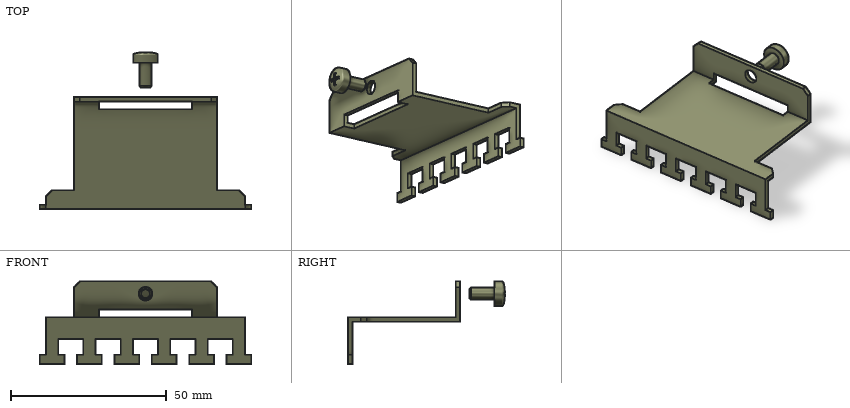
import cadquery as cq

total_width = 68.0
sheet = 1.5
bracket_depth = 36.05
drop_height = 15.0
flange_rise = 11.55
corner_cut = 2.0

finger_count = 6
foot_width = 8.0
foot_height = 3.0
stem_width = foot_width / 2
stem_height = 5.0
finger_pitch = (total_width - foot_width) / (finger_count - 1)
comb_width = total_width - foot_width + stem_width

strip_depth = 6.1
flange_width = 46.05
window_width = 29.7
window_reach = 2.45

screw_drop = 4.0
hole_diameter = 4.4
screw_gap = 2.9
shank_diameter = 4.0
shank_length = 8.0
tip_chamfer = 0.6
head_diameter = 8.0
head_side = 2.5
dome_height = 0.95
recess_span = 4.0
recess_width = 0.75
recess_depth = 1.35

screw_z = flange_rise - screw_drop
overcut = 0.7


def box(width, y_start, y_end, z_start, z_end, x_center=0.0):
    """Box centred on x_center, between the given Y and Z limits."""
    return (
        cq.Workplane("XY")
        .box(width, y_end - y_start, z_end - z_start, centered=(True, False, False))
        .translate((x_center, y_start, z_start))
    )


def make_plate():
    """Horizontal sheet with a wider, corner-cut strip along the front."""
    strip = box(comb_width, 0, strip_depth, -sheet, 0)
    strip = strip.edges("|Z and >Y").chamfer(corner_cut)
    web = box(flange_width, 0, bracket_depth, -sheet, 0)
    return strip.union(web)


def make_rear_flange():
    """Upright sheet with cut top corners."""
    flange = box(flange_width, bracket_depth - sheet, bracket_depth, -sheet, flange_rise)
    return flange.edges("|Y and >Z").chamfer(corner_cut)


def make_comb():
    """Hanging front sheet that carries the row of T-shaped fingers."""
    foot_top = foot_height - drop_height
    comb = box(comb_width, 0, sheet, foot_top + stem_height, 0)
    for index in range(finger_count):
        x = (index - (finger_count - 1) / 2) * finger_pitch
        stem = box(stem_width, 0, sheet, foot_top, foot_top + stem_height, x)
        foot = box(foot_width, 0, sheet, -drop_height, foot_top, x)
        comb = comb.union(stem).union(foot)
    return comb


def make_bracket():
    """Bent sheet bracket with a window in the bend and a screw hole."""
    window = box(
        window_width,
        bracket_depth - sheet - window_reach,
        bracket_depth + overcut,
        -sheet - overcut,
        window_reach,
    )
    hole = (
        cq.Workplane("XZ", origin=(0, bracket_depth + overcut, screw_z))
        .circle(hole_diameter / 2)
        .extrude(sheet + 2 * overcut)
    )
    return make_plate().union(make_rear_flange()).union(make_comb()).cut(window).cut(hole)


def make_screw():
    """Domed-head screw with a cross recess, behind the flange and in line with the hole."""
    shank_radius = shank_diameter / 2
    head_radius = head_diameter / 2
    dome_base = shank_length + head_side
    dome_top = dome_base + dome_height
    profile = (
        cq.Workplane("XY")
        .lineTo(shank_radius - tip_chamfer, 0)
        .lineTo(shank_radius, tip_chamfer)
        .lineTo(shank_radius, shank_length)
        .lineTo(head_radius, shank_length)
        .lineTo(head_radius, dome_base)
        .ellipseArc(head_radius, dome_height, 0, 90)
        .close()
    )
    screw = profile.revolve(360, (0, 0, 0), (0, 1, 0))
    recess_floor = dome_top - recess_depth
    recess_top = dome_top + overcut
    for arm_x, arm_z in ((recess_span, recess_width), (recess_width, recess_span)):
        arm = box(arm_x, recess_floor, recess_top, -arm_z / 2, arm_z / 2)
        screw = screw.cut(arm)
    return screw.translate((0, bracket_depth + screw_gap, screw_z))


bracket = make_bracket()
screw = make_screw()
result = cq.Compound.makeCompound([bracket.val(), screw.val()])